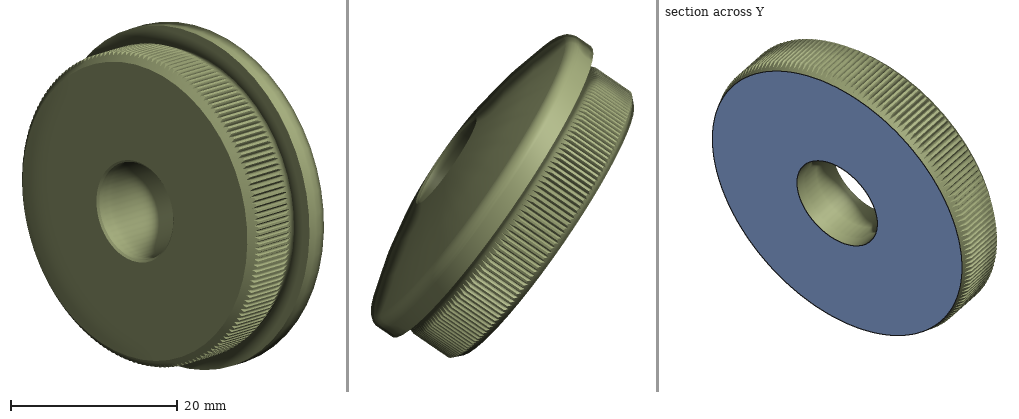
import cadquery as cq
import math


flange_radius = 42.4 / 2
seat_height = 8.0
dome_apex_height = 15.0
dome_radius = 58.5
rim_fillet = 1.5

plug_radius = 19.4
plug_chamfer = 1.0
crest_top_height = 6.0
relief_angle = math.radians(20)

groove_count = 170
groove_depth = 0.35
groove_angle = math.radians(65)

bore_radius = 6.05
bore_chamfer = 0.25


def make_turned_body():
    """Solid of revolution with the plug, relief cone, flange and dome."""
    neck_radius = plug_radius - (seat_height - crest_top_height) * math.tan(relief_angle)
    dome_center = dome_apex_height - dome_radius

    fillet_center_radius = flange_radius - rim_fillet
    center_distance = dome_radius - rim_fillet
    rise = math.sqrt(center_distance**2 - fillet_center_radius**2)
    fillet_center_height = dome_center + rise
    tilt = math.atan2(fillet_center_radius, rise)

    def fillet_point(angle_from_axis):
        return (
            fillet_center_radius + rim_fillet * math.sin(angle_from_axis),
            fillet_center_height + rim_fillet * math.cos(angle_from_axis),
        )

    def dome_point(angle_from_axis):
        return (
            dome_radius * math.sin(angle_from_axis),
            dome_center + dome_radius * math.cos(angle_from_axis),
        )

    right_angle = math.pi / 2
    return (
        cq.Workplane("ZY")
        .lineTo(plug_radius - plug_chamfer, 0)
        .lineTo(plug_radius, plug_chamfer)
        .lineTo(plug_radius, crest_top_height)
        .lineTo(neck_radius, seat_height)
        .lineTo(flange_radius, seat_height)
        .lineTo(flange_radius, fillet_center_height)
        .threePointArc(fillet_point((tilt + right_angle) / 2), fillet_point(tilt))
        .threePointArc(dome_point(tilt / 2), (0, dome_apex_height))
        .close()
        .revolve(360, (0, 0, 0), (0, 1, 0))
    )


def make_knurl_cutter():
    """Ring around the plug whose inner outline is a star of V-grooves, one of them at +Z."""
    pitch_angle = 2 * math.pi / groove_count
    valley_radius = plug_radius - groove_depth
    half_pitch = pitch_angle / 2
    tip_radius = valley_radius / (
        math.cos(half_pitch) - math.sin(half_pitch) / math.tan(groove_angle / 2)
    )
    outline = []
    for index in range(groove_count):
        valley = index * pitch_angle
        tip = valley + half_pitch
        outline.append((valley_radius * math.sin(valley), valley_radius * math.cos(valley)))
        outline.append((tip_radius * math.sin(tip), tip_radius * math.cos(tip)))

    plane = cq.Workplane("XZ")
    ring = plane.circle(flange_radius).extrude(-seat_height)
    star = plane.polyline(outline).close().extrude(-seat_height)
    return ring.cut(star)


def make_bore():
    """Through bore chamfered at the plug face and at the dome."""
    mouth_radius = bore_radius + bore_chamfer
    dome_mouth_height = dome_apex_height - dome_radius + math.sqrt(dome_radius**2 - mouth_radius**2)
    return (
        cq.Workplane("ZY")
        .lineTo(mouth_radius, 0)
        .lineTo(bore_radius, bore_chamfer)
        .lineTo(bore_radius, dome_mouth_height - bore_chamfer)
        .lineTo(mouth_radius, dome_mouth_height)
        .lineTo(mouth_radius, dome_apex_height)
        .lineTo(0, dome_apex_height)
        .close()
        .revolve(360, (0, 0, 0), (0, 1, 0))
    )


result = make_turned_body().cut(make_knurl_cutter()).cut(make_bore())